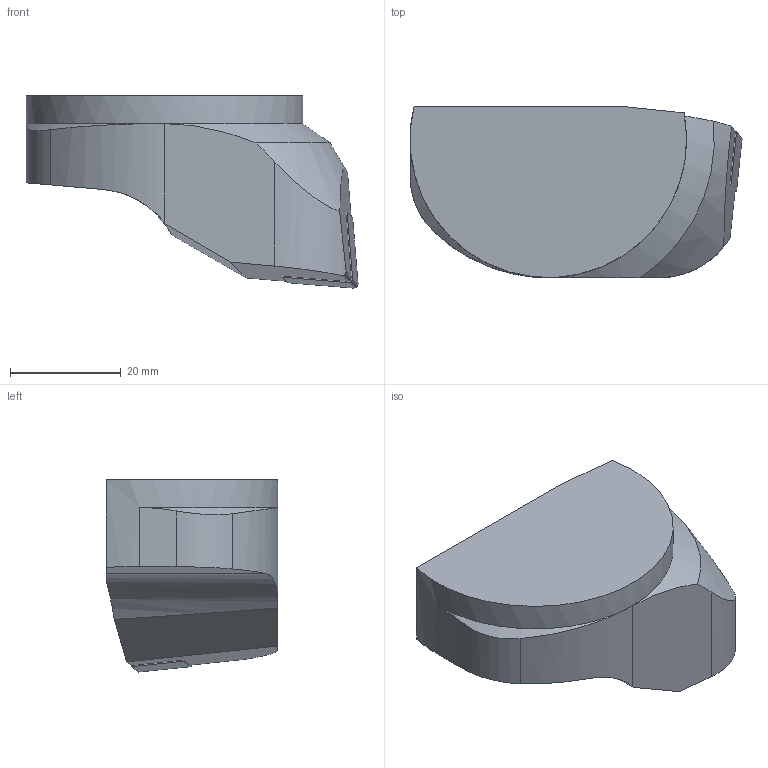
import math

import cadquery as cq

disk_radius = 25.0
disk_thickness = 5.0
back_y = 6.0

front_y = -disk_radius
left_x = -disk_radius
front_left_radius = 30.0
left_corner_radius = 14.0
right_corner_radius = 15.0
right_x = 35.0

upper_cone_radius = 30.0
upper_cone_angle = 35.0
lower_cone_angle = 60.0
lower_cone_radius = 50.0

floor_left_z = -15.7
floor_slope = 5.0
floor_arc_start_x = -11.0
floor_arc_radius = 15.5

rake_angle = 6.0
tip_x = 35.08
tip_y = 0.0
tip_z = -34.81
insert_corner_angle = 80.0
insert_width = 12.7
insert_thickness = 9.525
insert_nose_radius = 0.8
seat_step = 0.25
body_nose_radius = 0.8

lower_flank_length = 20.2
relief_turn = 25.0
relief_length = 20.5
left_direction = 45.0

reach = 100.0
cut_clearance = 1.0


def sin_of(angle):
    return math.sin(math.radians(angle))


def cos_of(angle):
    return math.cos(math.radians(angle))


def tan_of(angle):
    return math.tan(math.radians(angle))


def rake_workplane():
    """Workplane on the rake face, with its normal pointing into the body.

    Its origin is the sharp tip and its x axis is the bisector of the insert corner, running
    inward from the tip. Positive y is toward the lower flank.
    """
    tilt = tan_of(rake_angle)
    return cq.Workplane(
        cq.Plane(origin=(tip_x, tip_y, tip_z), xDir=(-1, 2 * tilt, 1), normal=(-tilt, -1, tilt))
    )


def along(start, length, angle):
    """Point at a distance from a start point, in a direction measured from the rake x axis."""
    return (start[0] + length * cos_of(angle), start[1] + length * sin_of(angle))


def disk():
    return cq.Workplane("XY").circle(disk_radius).extrude(-disk_thickness)


def body_blank():
    """Prism of the plan outline, from the underside of the disk downward."""
    big_center_y = front_y + front_left_radius
    small_center_x = left_x + left_corner_radius
    center_distance = front_left_radius - left_corner_radius
    small_center_y = big_center_y - math.sqrt(center_distance**2 - small_center_x**2)
    scale = front_left_radius / center_distance
    joint = (small_center_x * scale, big_center_y + (small_center_y - big_center_y) * scale)
    return (
        cq.Workplane("XY", origin=(0, 0, -disk_thickness))
        .moveTo(left_x, 0)
        .lineTo(left_x, small_center_y)
        .tangentArcPoint(joint, relative=False)
        .tangentArcPoint((0, front_y), relative=False)
        .lineTo(right_x - right_corner_radius, front_y)
        .tangentArcPoint((right_x, front_y + right_corner_radius), relative=False)
        .lineTo(right_x, disk_radius)
        .lineTo(0, disk_radius)
        .tangentArcPoint((left_x, 0), relative=False)
        .close()
        .extrude(-reach)
    )


def cone_envelope():
    """Solid of revolution whose two cones shape the shoulder of the body."""
    upper_cone_z = -disk_thickness - (upper_cone_radius - disk_radius) * tan_of(upper_cone_angle)
    lower_cone_z = upper_cone_z - (lower_cone_radius - upper_cone_radius) * tan_of(lower_cone_angle)
    return (
        cq.Workplane("XZ")
        .moveTo(0, -disk_thickness)
        .lineTo(disk_radius, -disk_thickness)
        .lineTo(upper_cone_radius, upper_cone_z)
        .lineTo(lower_cone_radius, lower_cone_z)
        .lineTo(lower_cone_radius, -reach)
        .lineTo(0, -reach)
        .close()
        .revolve(360, (0, 0), (0, 1))
    )


def floor_cut():
    """Space under the left half: a sloping flat running into a round that turns steeply down."""
    arc_start_z = floor_left_z - (floor_arc_start_x - left_x) * tan_of(floor_slope)
    center_x = floor_arc_start_x - floor_arc_radius * sin_of(floor_slope)
    center_z = arc_start_z - floor_arc_radius * cos_of(floor_slope)
    arc_end = (center_x + floor_arc_radius, center_z)
    outside_x = left_x - cut_clearance
    return (
        cq.Workplane("XZ")
        .moveTo(outside_x, floor_left_z + (left_x - outside_x) * tan_of(floor_slope))
        .lineTo(floor_arc_start_x, arc_start_z)
        .tangentArcPoint(arc_end, relative=False)
        .lineTo(arc_end[0], -reach)
        .lineTo(outside_x, -reach)
        .close()
        .extrude(reach, both=True)
    )


def round_nose(prism, corner, depth, radius):
    """Fillet the edge that runs square to the rake face from a corner given on that face."""
    edge_middle = rake_workplane().plane.toWorldCoords((corner[0], corner[1], depth / 2))
    selector = cq.selectors.NearestToPointSelector(edge_middle.toTuple())
    return prism.edges(selector).fillet(radius)


def flank_envelope():
    """Everything behind the rake plane and inside the flanks and the relief, square to the rake."""
    corner = (seat_step / sin_of(insert_corner_angle / 2), 0)
    flank_end = along(corner, lower_flank_length, insert_corner_angle / 2)
    relief_end = along(flank_end, relief_length, insert_corner_angle / 2 - relief_turn)
    left_end = along(relief_end, reach, left_direction)
    side_end = along(corner, reach, -insert_corner_angle / 2)
    prism = (
        rake_workplane()
        .polyline([corner, flank_end, relief_end, left_end, (reach, 0), side_end])
        .close()
        .extrude(reach)
    )
    return round_nose(prism, corner, reach, body_nose_radius)


def insert():
    """Rhombic insert with its top flush with the rake face and one rounded nose."""
    side = insert_width / sin_of(insert_corner_angle)
    tip = (0, 0)
    lower_corner = along(tip, side, insert_corner_angle / 2)
    upper_corner = along(tip, side, -insert_corner_angle / 2)
    far_corner = along(lower_corner, side, -insert_corner_angle / 2)
    block = (
        rake_workplane()
        .polyline([tip, lower_corner, far_corner, upper_corner])
        .close()
        .extrude(insert_thickness)
    )
    return round_nose(block, tip, insert_thickness, insert_nose_radius)


def back_cut():
    return cq.Workplane("XY").box(2 * reach, reach, 2 * reach).translate((0, back_y + reach / 2, 0))


body = body_blank().intersect(cone_envelope()).cut(floor_cut())
result = disk().union(body).cut(back_cut()).intersect(flank_envelope()).union(insert())